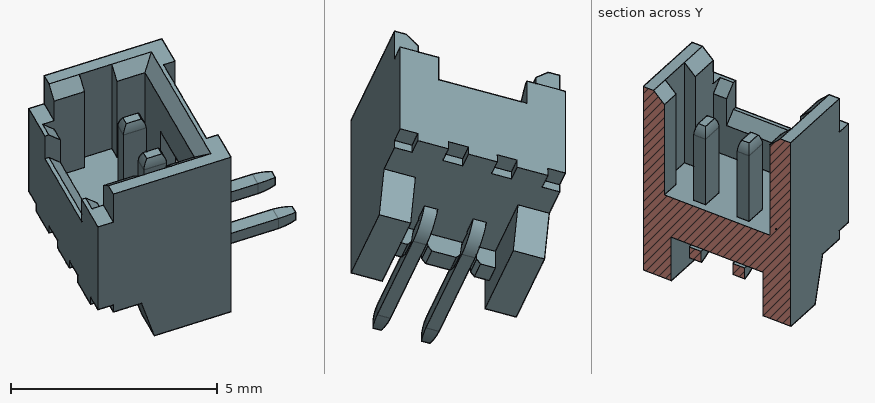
import cadquery as cq


width = 4.25
height = 5.5
depth = 3.505
total_depth = 5.8
underside_z = 1.3
top_step_depth = 0.405
top_step_z = height - 1.0

foot_width = 0.805
foot_front_bottom_y = 1.485
foot_front_top_y = 1.15

rear_recess_depth = 0.3
rear_wall_y = depth - rear_recess_depth
recess_width = width - 2 * foot_width

cavity_width = 3.03
cavity_front_y = top_step_depth
cavity_back_y = 2.795
cavity_floor_z = height - 3.0
lead_in_depth = 0.3
lead_in_side = 0.315
slot_front_y = 1.205
slot_back_y = 2.06
slot_width = cavity_width + 2 * lead_in_side

notch_width = 2.26
notch_z = height - 1.8
window_width = 1.115
window_top_z = height - 1.45

relief_height = 0.255
pin_relief_width = 0.51
corner_relief_width = 0.45

pin_pitch = 1.25
pin_xs = (-pin_pitch / 2, pin_pitch / 2)
pin_width = 0.34
post_front_y = 1.775
post_depth = 0.605
post_back_y = post_front_y + post_depth
post_top_z = 4.755
post_tip_length = 0.295
post_tip_inset = 0.105
tail_bottom_z = 0.87
tail_thickness = 0.36
tail_top_z = tail_bottom_z + tail_thickness
tail_tip_length = 0.49
tip_side_inset = 0.065
tail_tip_inset = 0.045
tip_midway_share = 0.28
bend_radius = 0.985

tail_wall_front_y = post_front_y + bend_radius
tail_wall_bottom_z = 0.7
tail_slot_mouth = 0.62
tail_slot_neck = 0.425
tail_slot_neck_z = 0.84


def block(x_size, y_min, y_max, z_min, z_max, x_center=0):
    """Box centred on x_center, given by its Y and Z limits."""
    box = cq.Workplane("XY").box(x_size, y_max - y_min, z_max - z_min, centered=(True, False, False))
    return box.translate((x_center, y_min, z_min))


def side_prism(points, x_size):
    """Prism along X, centred on X = 0, from a closed outline of (Y, Z) points."""
    return cq.Workplane("YZ").polyline(points).close().extrude(x_size / 2, both=True)


def make_shell():
    outline = [
        (0, underside_z),
        (foot_front_top_y, underside_z),
        (foot_front_bottom_y, 0),
        (depth, 0),
        (depth, height),
        (top_step_depth, height),
        (top_step_depth, top_step_z),
        (0, top_step_z),
    ]
    shell = side_prism(outline, width)
    rear_recess = block(recess_width, rear_wall_y, depth, 0, height)
    gap_ahead_of_tail_wall = block(recess_width, 0, tail_wall_front_y, 0, underside_z)
    gap_below_tail_wall = block(recess_width, tail_wall_front_y, depth, 0, tail_wall_bottom_z)
    return shell.cut(rear_recess).cut(gap_ahead_of_tail_wall).cut(gap_below_tail_wall)


def make_cavity():
    cavity = block(cavity_width, cavity_front_y, cavity_back_y, cavity_floor_z, height)
    side_slots = block(slot_width, slot_front_y, slot_back_y, cavity_floor_z, height)
    return cavity.union(side_slots)


def make_top_lead_in():
    """Sloped mouth of the cavity along its two sides and its back."""
    mouth_length = cavity_back_y + lead_in_depth
    mouth_profile = [
        (-cavity_width / 2, height - lead_in_depth),
        (cavity_width / 2, height - lead_in_depth),
        (slot_width / 2, height),
        (-slot_width / 2, height),
    ]
    mouth = cq.Workplane("XZ").polyline(mouth_profile).close().extrude(-mouth_length)
    back_slope = [
        (0, height - lead_in_depth),
        (cavity_back_y, height - lead_in_depth),
        (mouth_length, height),
        (0, height),
    ]
    return mouth.intersect(side_prism(back_slope, slot_width))


def make_front_lead_in(x_size, edge_z):
    """Slope on the inner edge of the front wall where its rim is at edge_z."""
    slope = [
        (cavity_front_y, edge_z),
        (cavity_front_y - lead_in_depth, edge_z),
        (cavity_front_y, edge_z - lead_in_depth),
    ]
    return side_prism(slope, x_size)


def make_wall_openings():
    notch = block(notch_width, 0, cavity_front_y, notch_z, top_step_z)
    window = block(window_width, cavity_back_y, rear_wall_y, cavity_floor_z, window_top_z)
    return notch.union(window)


def make_front_reliefs():
    relief_top_z = underside_z + relief_height
    corner_x = (width - corner_relief_width) / 2
    reliefs = cq.Workplane("XY")
    for x in pin_xs:
        reliefs = reliefs.add(block(pin_relief_width, 0, top_step_depth, underside_z, relief_top_z, x))
    for x in (-corner_x, corner_x):
        reliefs = reliefs.add(block(corner_relief_width, 0, top_step_depth, underside_z, relief_top_z, x))
    return reliefs.combine()


def make_tail_slot(x):
    """Slot open downward, narrowing to the pin width above a flared mouth."""
    profile = [
        (-tail_slot_mouth / 2, tail_wall_bottom_z),
        (-tail_slot_neck / 2, tail_slot_neck_z),
        (-pin_width / 2, tail_top_z),
        (pin_width / 2, tail_top_z),
        (tail_slot_neck / 2, tail_slot_neck_z),
        (tail_slot_mouth / 2, tail_wall_bottom_z),
    ]
    slot = cq.Workplane("XZ").polyline(profile).close().extrude(-depth)
    return slot.translate((x, 0, 0))


def tip_profile(plane, base_width, length, inset):
    """Outline of a tip that curves in by inset on each side."""
    mid_height = length / 2
    mid_inset = tip_midway_share * inset
    half = base_width / 2
    return (
        cq.Workplane(plane)
        .moveTo(-half, 0)
        .lineTo(half, 0)
        .threePointArc((half - mid_inset, mid_height), (half - inset, length))
        .lineTo(inset - half, length)
        .threePointArc((mid_inset - half, mid_height), (-half, 0))
        .close()
    )


def make_tip(thickness, length, inset):
    """Pin tip pointing up from the origin, thickness measured along Y."""
    across_x = tip_profile("XZ", pin_width, length, tip_side_inset).extrude(thickness, both=True)
    across_y = tip_profile("YZ", thickness, length, inset).extrude(pin_width, both=True)
    return across_x.intersect(across_y)


def make_pin(x):
    post_end_z = post_top_z - post_tip_length
    tail_end_y = total_depth - tail_tip_length
    post = block(pin_width, post_front_y, post_back_y, tail_bottom_z, post_end_z)
    tail = block(pin_width, post_front_y, tail_end_y, tail_bottom_z, tail_top_z)
    bent = post.union(tail).edges("|X and <Y and <Z").fillet(bend_radius)
    post_tip = make_tip(post_depth, post_tip_length, post_tip_inset)
    post_tip = post_tip.translate((0, post_front_y + post_depth / 2, post_end_z))
    tail_tip = make_tip(tail_thickness, tail_tip_length, tail_tip_inset)
    tail_tip = tail_tip.rotate((0, 0, 0), (1, 0, 0), -90)
    tail_tip = tail_tip.translate((0, tail_end_y, tail_bottom_z + tail_thickness / 2))
    return bent.union(post_tip).union(tail_tip).translate((x, 0, 0))


result = (
    make_shell()
    .cut(make_cavity())
    .cut(make_top_lead_in())
    .cut(make_wall_openings())
    .cut(make_front_lead_in(cavity_width, top_step_z))
    .cut(make_front_lead_in(notch_width, notch_z))
    .cut(make_front_reliefs())
)
for pin_x in pin_xs:
    result = result.cut(make_tail_slot(pin_x)).union(make_pin(pin_x))